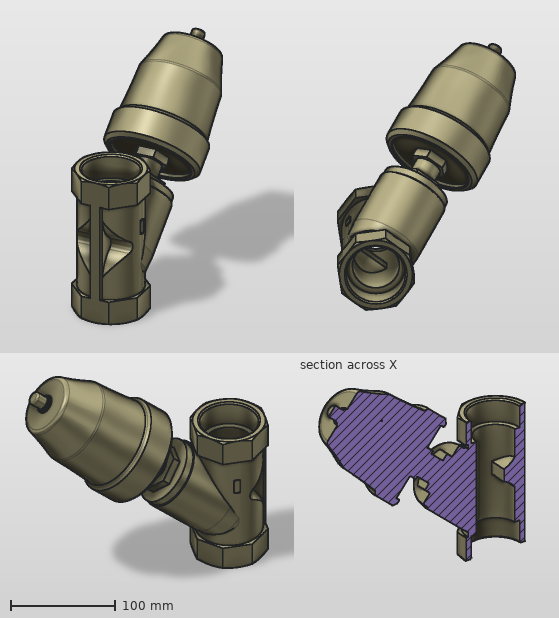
import cadquery as cq
import math


pipe_length = 150.0
pipe_radius = 32.8
octagon_flats = 70.0
octagon_corner_radius = octagon_flats / 2 / math.cos(math.pi / 8)
octagon_height = 25.3
octagon_chamfer = 1.6
socket_diameter = 56.6
socket_depth = 24.5
socket_chamfer = 1.6
bore_diameter = 45.0

upper_lobe_z = 112.5
lower_lobe_z = 45.2
lobe_radius = 32.3
notch_nose_y = -13.5
weir_wall = 3.7

rib_width = 13.0
rib_crest_width = 10.3

pad_width = 6.3
pad_height = 15.2
pad_corner = 1.9
pad_raise = 0.7
pad_z = 94.8

tilt_from_z = 50
axis_crossing_z = 48.0

bonnet_tip = -4.7
bonnet_round_start = 4.5
bonnet_taper_start = 20.1
bonnet_top = 76.3
ring_top = 84.2
lower_nut_top = 92.0
upper_nut_bottom = 109.5
actuator_bottom = 113.5
actuator_top = 236.3

bonnet_radius = octagon_flats / 2
bonnet_taper_radius = 33.7
bonnet_tip_radius = 31.5
ring_diameter = 67.0
lower_nut_flats = 41.0
upper_nut_flats = 32.0
stem_diameter = 26.0

collar_diameter = 98.0
collar_height = 30.7
collar_bottom_chamfer = 4.0
collar_top_chamfer = 2.5
recess_diameter = 81.7
recess_depth = 4.7
recess_chamfer = 1.0
recess_floor = actuator_bottom + recess_depth
shell_base_radius = 45.2
shell_base_rise = 1.5
shell_bulge = 0.5
shoulder_height = 84.2
shoulder_radius = 42.0
shoulder_band = 2.0
dome_base_radius = 41.5
cap_radius = 29.7
cap_fillet = 4.2
dome_bulge = 0.7

pin_collar_diameter = 18.3
pin_collar_height = 1.6
pin_ring_diameter = 15.5
pin_ring_height = 3.5
pin_diameter = 13.0
pin_height = 16.0
pin_tip_fillet = 2.0


def revolve_profile(points):
    """Turn (radius, height) points about the Z axis, closed flat at both ends."""
    outline = [(0, points[0][1])] + points + [(0, points[-1][1])]
    return cq.Workplane("XZ").polyline(outline).close().revolve(360, (0, 0, 0), (0, 1, 0))


def cylinder(diameter, bottom, top):
    """Upright round bar about the Z axis."""
    return cq.Workplane("XY").workplane(offset=bottom).circle(diameter / 2).extrude(top - bottom)


def octagon_end(bottom_z):
    """Octagonal wrench end with flats facing X and Y."""
    half_side_angle = 360 / 8 / 2
    blank = cq.Workplane("XY").polygon(8, 2 * octagon_corner_radius).extrude(octagon_height)
    return blank.rotate((0, 0, 0), (0, 0, 1), half_side_angle).translate((0, 0, bottom_z))


def chamfer_envelope():
    """Turned envelope that bevels the octagon corners at both pipe ends."""
    end_radius = octagon_flats / 2
    return revolve_profile([
        (end_radius, 0),
        (octagon_corner_radius, octagon_chamfer),
        (octagon_corner_radius, pipe_length - octagon_chamfer),
        (end_radius, pipe_length),
    ])


def notch_prism():
    """Prism across X: two round lobes joined by a nose arc tangent to both."""
    half_pitch = (upper_lobe_z - lower_lobe_z) / 2
    middle_z = lower_lobe_z + half_pitch
    nose_depth = -notch_nose_y
    nose_radius = (nose_depth**2 + half_pitch**2 - lobe_radius**2) / (2 * (lobe_radius - nose_depth))
    nose_center_y = notch_nose_y - nose_radius

    share = lobe_radius / (lobe_radius + nose_radius)
    tangent_y = nose_center_y * share
    tangent_rise = half_pitch * (1 - share)
    mid_angle = math.atan2(half_pitch, nose_depth + nose_radius) / 2
    mid_y = -lobe_radius * math.cos(mid_angle)
    mid_rise = half_pitch - lobe_radius * math.sin(mid_angle)
    outer_y = -2 * pipe_radius
    return (
        cq.Workplane("YZ")
        .moveTo(outer_y, upper_lobe_z)
        .lineTo(-lobe_radius, upper_lobe_z)
        .threePointArc((mid_y, middle_z + mid_rise), (tangent_y, middle_z + tangent_rise))
        .threePointArc((notch_nose_y, middle_z), (tangent_y, middle_z - tangent_rise))
        .threePointArc((mid_y, middle_z - mid_rise), (-lobe_radius, lower_lobe_z))
        .lineTo(outer_y, lower_lobe_z)
        .close()
        .extrude(pipe_radius, both=True)
    )


def weir():
    """Wall behind the notch: a flat-nosed block hollowed by both lobes."""
    height = upper_lobe_z - lower_lobe_z
    block = cq.Workplane("XY").box(2 * pipe_radius, pipe_radius, height)
    block_y = notch_nose_y + weir_wall - pipe_radius / 2
    block = block.translate((0, block_y, lower_lobe_z + height / 2))
    lobes = (
        cq.Workplane("YZ")
        .pushPoints([(0, upper_lobe_z), (0, lower_lobe_z)])
        .circle(lobe_radius - weir_wall)
        .extrude(pipe_radius, both=True)
    )
    return block.cut(lobes)


def hex_nut(flats, bottom, top):
    """Hexagonal nut with two corners on the X axis, built upright."""
    corner_diameter = flats / math.cos(math.pi / 6)
    return cq.Workplane("XY").workplane(offset=bottom).polygon(6, corner_diameter).extrude(top - bottom)


def bonnet():
    """Round neck with a tapered tip inside the pipe, a top ring and a hex nut."""
    body = revolve_profile([
        (bonnet_tip_radius, bonnet_tip),
        (bonnet_taper_radius, bonnet_round_start),
        (bonnet_radius, bonnet_taper_start),
        (bonnet_radius, bonnet_top),
    ])
    body = body.union(cylinder(ring_diameter, bonnet_top, ring_top))
    return body.union(hex_nut(lower_nut_flats, ring_top, lower_nut_top))


def actuator():
    """Collar, bulged shell and dome, recessed underneath."""
    collar_radius = collar_diameter / 2
    collar_top = actuator_bottom + collar_height
    step_top = collar_top + collar_top_chamfer
    shell_base = step_top + shell_base_rise
    shoulder = actuator_bottom + shoulder_height
    dome_base = shoulder + shoulder_band
    housing = (
        cq.Workplane("XZ")
        .moveTo(0, actuator_bottom)
        .lineTo(collar_radius - collar_bottom_chamfer, actuator_bottom)
        .lineTo(collar_radius, actuator_bottom + collar_bottom_chamfer)
        .lineTo(collar_radius, collar_top)
        .lineTo(collar_radius - collar_top_chamfer, step_top)
        .lineTo(shell_base_radius, shell_base)
        .sagittaArc((shoulder_radius, shoulder), shell_bulge)
        .lineTo(dome_base_radius, dome_base)
        .sagittaArc((cap_radius, actuator_top), dome_bulge)
        .lineTo(0, actuator_top)
        .close()
        .revolve(360, (0, 0, 0), (0, 1, 0))
    )
    housing = housing.faces(">Z").edges().fillet(cap_fillet)
    mouth_radius = recess_diameter / 2 + recess_chamfer
    recess = revolve_profile([
        (mouth_radius, actuator_bottom),
        (recess_diameter / 2, actuator_bottom + recess_chamfer),
        (recess_diameter / 2, recess_floor),
    ])
    return housing.cut(recess)


def indicator_pin():
    """Stepped pin with a rounded tip."""
    pin = cylinder(pin_diameter, actuator_top, actuator_top + pin_height)
    pin = pin.faces(">Z").edges().fillet(pin_tip_fillet)
    pin = pin.union(cylinder(pin_ring_diameter, actuator_top, actuator_top + pin_ring_height))
    return pin.union(cylinder(pin_collar_diameter, actuator_top, actuator_top + pin_collar_height))


def rib():
    """Front rib between the octagons, tapering from the pipe wall to their flats."""
    root_y = -math.sqrt(pipe_radius**2 - (rib_width / 2) ** 2)
    crest_y = -octagon_flats / 2
    inner_y = notch_nose_y - weir_wall
    outline = [
        (-rib_width / 2, inner_y),
        (-rib_width / 2, root_y),
        (-rib_crest_width / 2, crest_y),
        (rib_crest_width / 2, crest_y),
        (rib_width / 2, root_y),
        (rib_width / 2, inner_y),
    ]
    bar = cq.Workplane("XY").workplane(offset=octagon_height).polyline(outline).close()
    return bar.extrude(pipe_length - 2 * octagon_height)


def marking_pads():
    """One bar through the pipe, so that each end stands out as a pad."""
    reach = 2 * (pipe_radius + pad_raise)
    bar = cq.Workplane("XY").box(reach, pad_width, pad_height).edges("|X").fillet(pad_corner)
    return bar.translate((0, 0, pad_z))


def flow_passage():
    """Straight bore with a chamfered socket at each end, less the weir."""
    socket_radius = socket_diameter / 2
    bore_radius = bore_diameter / 2
    mouth_radius = socket_radius + socket_chamfer
    passage = revolve_profile([
        (mouth_radius, 0),
        (socket_radius, socket_chamfer),
        (socket_radius, socket_depth),
        (bore_radius, socket_depth),
        (bore_radius, pipe_length - socket_depth),
        (socket_radius, pipe_length - socket_depth),
        (socket_radius, pipe_length - socket_chamfer),
        (mouth_radius, pipe_length),
    ])
    return passage.cut(weir())


tilted = bonnet().union(cylinder(stem_diameter, lower_nut_top, recess_floor))
tilted = tilted.union(actuator())
tilted = tilted.union(hex_nut(upper_nut_flats, upper_nut_bottom, recess_floor))
tilted = tilted.union(indicator_pin())
tilted = tilted.rotate((0, 0, 0), (1, 0, 0), -tilt_from_z).translate((0, 0, axis_crossing_z))

ends = octagon_end(0).union(octagon_end(pipe_length - octagon_height)).intersect(chamfer_envelope())
pipe = cylinder(2 * pipe_radius, octagon_height / 2, pipe_length - octagon_height / 2)
notch = notch_prism()
notch = notch.cut(cq.Workplane("XY").box(rib_width, 4 * pipe_radius, 2 * pipe_length))
pipe = pipe.union(marking_pads()).union(tilted).cut(notch)

result = pipe.union(ends).union(rib()).cut(flow_passage())